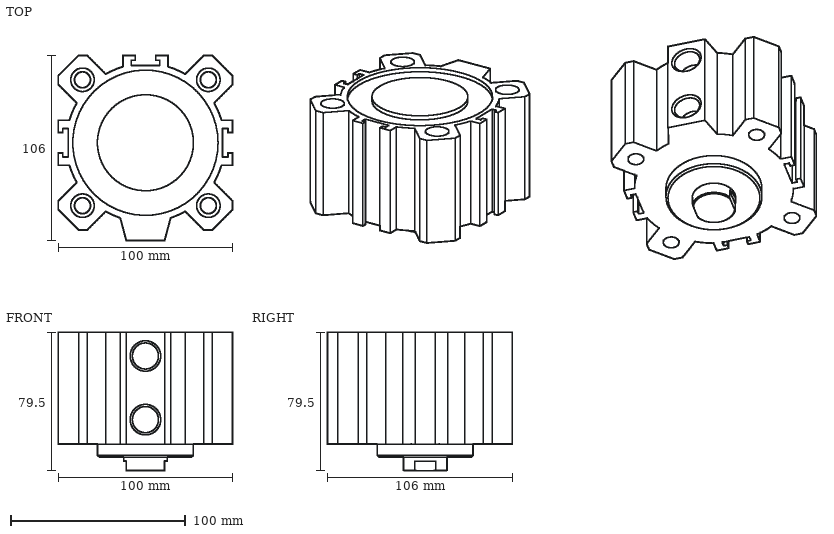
import cadquery as cq
import math

WIDTH = 100.0
HALF_WIDTH = WIDTH / 2
TOTAL_DEPTH = 106.0
TOTAL_HEIGHT = 79.5
HOUSING_HEIGHT = 64.1
BARREL_DIAMETER = 91.0

LUG_WIDTH = 23.5
LUG_REACH = 62.4
BOLT_OFFSET = 36.0
BOLT_HOLE_DIAMETER = 9.0
COUNTERBORE_DIAMETER = 13.5
COUNTERBORE_DEPTH = 8.5

RAIL_WIDTH = 26.0
RAIL_ANGLES = (0, 90, 180)
SLOT_MOUTH_WIDTH = 11.6
SLOT_INNER_WIDTH = 16.2
SLOT_LIP_THICKNESS = 2.8
SLOT_DEPTH = 5.7

PORT_FACE_OFFSET = TOTAL_DEPTH - HALF_WIDTH
PORT_FACE_WIDTH = 22.0
PORT_FLANK_ANGLE = 15.0
PORT_DIAMETER = 14.9
PORT_CHAMFER = 1.3
PORT_DEPTH = 12.7
PORT_HEIGHTS = (14.0, 50.5)

RECESS_DIAMETER = 83.2
RECESS_DEPTH = 2.5
HUB_DIAMETER = 55.0
COLLAR_LENGTH = 7.5
COLLAR_CHAMFER = 1.2

ROD_DIAMETER = 25.0
ROD_LENGTH = TOTAL_HEIGHT - HOUSING_HEIGHT - COLLAR_LENGTH
ROD_CHAMFER = 0.5
FLAT_LENGTH = 5.6
ACROSS_FLATS = 22.0


def make_lugs():
    """Two crossed diagonal bars, clipped by the flat outer sides."""
    bar = cq.Workplane("XY").rect(2 * LUG_REACH, LUG_WIDTH).extrude(HOUSING_HEIGHT)
    lugs = bar.rotate((0, 0, 0), (0, 0, 1), 45)
    lugs = lugs.union(bar.rotate((0, 0, 0), (0, 0, 1), -45))
    envelope = cq.Workplane("XY").rect(2 * HALF_WIDTH, 2 * HALF_WIDTH).extrude(HOUSING_HEIGHT)
    return lugs.intersect(envelope)


def make_rail(angle):
    """One block from the axis out to the flat side, turned about Z."""
    rail = cq.Workplane("XY").center(HALF_WIDTH / 2, 0).rect(HALF_WIDTH, RAIL_WIDTH).extrude(HOUSING_HEIGHT)
    return rail.rotate((0, 0, 0), (0, 0, 1), angle)


def make_t_slot(angle):
    """The T-shaped groove of one rail, running the full height."""
    floor = HALF_WIDTH - SLOT_DEPTH
    lip = HALF_WIDTH - SLOT_LIP_THICKNESS
    mouth = cq.Workplane("XY").center((floor + HALF_WIDTH) / 2, 0)
    mouth = mouth.rect(SLOT_DEPTH, SLOT_MOUTH_WIDTH).extrude(HOUSING_HEIGHT)
    inner = cq.Workplane("XY").center((floor + lip) / 2, 0)
    inner = inner.rect(lip - floor, SLOT_INNER_WIDTH).extrude(HOUSING_HEIGHT)
    return mouth.union(inner).rotate((0, 0, 0), (0, 0, 1), angle)


def make_port_boss():
    """A block that widens from the port face back into the barrel wall."""
    face_half = PORT_FACE_WIDTH / 2
    root = -RECESS_DIAMETER / 2
    root_half = face_half + (PORT_FACE_OFFSET + root) * math.tan(math.radians(PORT_FLANK_ANGLE))
    outline = [
        (-face_half, -PORT_FACE_OFFSET),
        (face_half, -PORT_FACE_OFFSET),
        (root_half, root),
        (-root_half, root),
    ]
    return cq.Workplane("XY").polyline(outline).close().extrude(HOUSING_HEIGHT)


def make_port(height):
    """A blind port bore with a chamfered mouth, drilled along +Y."""
    mouth_radius = PORT_DIAMETER / 2 + PORT_CHAMFER
    bore = cq.Solid.makeCylinder(
        PORT_DIAMETER / 2, PORT_DEPTH, cq.Vector(0, -PORT_FACE_OFFSET, height), cq.Vector(0, 1, 0)
    )
    chamfer = cq.Solid.makeCone(
        mouth_radius, PORT_DIAMETER / 2, PORT_CHAMFER,
        cq.Vector(0, -PORT_FACE_OFFSET, height), cq.Vector(0, 1, 0),
    )
    return cq.Workplane(bore).union(cq.Workplane(chamfer))


def make_end_recess():
    """A ring-shaped recess in the top face that leaves a central disc."""
    floor = cq.Workplane("XY").workplane(offset=HOUSING_HEIGHT - RECESS_DEPTH)
    return floor.circle(RECESS_DIAMETER / 2).circle(HUB_DIAMETER / 2).extrude(RECESS_DEPTH)


def make_collar():
    """The chamfered collar below the housing that the rod leaves from."""
    collar = cq.Workplane("XY").circle(HUB_DIAMETER / 2).extrude(-COLLAR_LENGTH)
    return collar.faces("<Z").chamfer(COLLAR_CHAMFER)


def make_housing():
    body = cq.Workplane("XY").circle(BARREL_DIAMETER / 2).extrude(HOUSING_HEIGHT)
    body = body.union(make_lugs()).union(make_port_boss()).union(make_collar())
    for angle in RAIL_ANGLES:
        body = body.union(make_rail(angle))
    for angle in RAIL_ANGLES:
        body = body.cut(make_t_slot(angle))
    for height in PORT_HEIGHTS:
        body = body.cut(make_port(height))
    body = body.cut(make_end_recess())
    bolt_holes = body.faces(">Z").workplane(origin=(0, 0, HOUSING_HEIGHT))
    bolt_holes = bolt_holes.rect(2 * BOLT_OFFSET, 2 * BOLT_OFFSET, forConstruction=True).vertices()
    return bolt_holes.cboreHole(BOLT_HOLE_DIAMETER, COUNTERBORE_DIAMETER, COUNTERBORE_DEPTH)


def make_rod():
    """The rod end, chamfered at its tip, with two wrench flats facing -X and +X."""
    top = -COLLAR_LENGTH
    tip = top - ROD_LENGTH
    rod = cq.Workplane("XY").workplane(offset=top).circle(ROD_DIAMETER / 2).extrude(-ROD_LENGTH)
    rod = rod.faces("<Z").chamfer(ROD_CHAMFER)
    tip_plane = cq.Workplane("XY").workplane(offset=tip)
    outside_flats = tip_plane.rect(2 * ROD_DIAMETER, 2 * ROD_DIAMETER)
    outside_flats = outside_flats.rect(ACROSS_FLATS, 2 * ROD_DIAMETER).extrude(FLAT_LENGTH)
    return rod.cut(outside_flats)


housing = make_housing()
rod = make_rod()
result = cq.Compound.makeCompound([housing.val(), rod.val()])